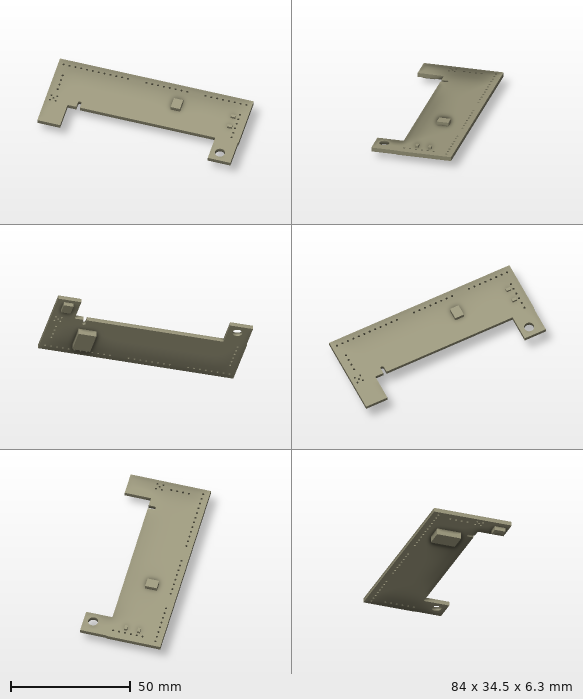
import cadquery as cq

BOARD_LENGTH = 84.0
BOARD_DEPTH = 34.5
BOARD_THICKNESS = 1.8
LEG_DEPTH = 11.3
LEFT_LEG_WIDTH = 9.9
RIGHT_LEG_START = 73.9
RIGHT_LEG_END = 83.75

SLOT_X = 14.45
SLOT_WIDTH = 1.5
SLOT_LENGTH = 3.2

MOUNT_X = 78.0
MOUNT_Y = 4.1
MOUNT_DIAMETER = 4.2

PITCH = 2.54
PIN_DIAMETER = 0.9
ROW_Y = 31.8
ROW_GROUPS = [(2.35, 12), (38.2, 8), (63.8, 8)]
COLUMN_TOP_Y = 26.0
COLUMNS = [(3.6, 4), (80.5, 6)]

CLUSTER_X = 3.3
CLUSTER_Y = 13.35
CLUSTER_DIAMETER = 0.8

CHIP_SIZE = (4.0, 5.0, 1.7)
CHIP_CORNER = (51.9, 20.75)
RESISTOR_SIZE = (2.0, 1.3, 1.0)
RESISTOR_CORNERS = [(77.2, 23.3), (77.2, 17.7)]

CONNECTOR_SIZE = (7.65, 10.7, 2.8)
CONNECTOR_CORNER = (13.2, 17.55)
SENSOR_SIZE = (4.0, 4.9, 1.8)
SENSOR_CORNER = (2.85, 1.6)


def block(size, corner, bottom_z):
    """Plain block with its lower-left corner at the given X and Y."""
    return cq.Workplane("XY").box(*size, centered=False).translate((*corner, bottom_z))


def drill(body, points, diameter):
    """Cut round holes through the whole board."""
    holes = cq.Workplane("XY").pushPoints(points).circle(diameter / 2).extrude(BOARD_THICKNESS)
    return body.cut(holes)


def board_blank():
    """Plate with two legs that point toward -Y."""
    outline = [
        (0, 0),
        (LEFT_LEG_WIDTH, 0),
        (LEFT_LEG_WIDTH, LEG_DEPTH),
        (RIGHT_LEG_START, LEG_DEPTH),
        (RIGHT_LEG_START, 0),
        (RIGHT_LEG_END, 0),
        (RIGHT_LEG_END, LEG_DEPTH),
        (BOARD_LENGTH, LEG_DEPTH),
        (BOARD_LENGTH, BOARD_DEPTH),
        (0, BOARD_DEPTH),
    ]
    return cq.Workplane("XY").polyline(outline).close().extrude(BOARD_THICKNESS)


def edge_slot():
    """Cutter for the slot, straight sides closed by a half circle."""
    radius = SLOT_WIDTH / 2
    end_y = LEG_DEPTH + SLOT_LENGTH
    return (
        cq.Workplane("XY")
        .moveTo(SLOT_X - radius, LEG_DEPTH)
        .lineTo(SLOT_X + radius, LEG_DEPTH)
        .lineTo(SLOT_X + radius, end_y - radius)
        .threePointArc((SLOT_X, end_y), (SLOT_X - radius, end_y - radius))
        .close()
        .extrude(BOARD_THICKNESS)
    )


def pin_points():
    """Centres of the holes in the back row and in the two side columns."""
    row = [(start + i * PITCH, ROW_Y) for start, count in ROW_GROUPS for i in range(count)]
    columns = [(x, COLUMN_TOP_Y - i * PITCH) for x, count in COLUMNS for i in range(count)]
    return row + columns


def cluster_points():
    """Centres of the middle hole and of the four around it."""
    half = PITCH / 2
    corners = [(CLUSTER_X + dx, CLUSTER_Y + dy) for dx in (-half, half) for dy in (-half, half)]
    return [(CLUSTER_X, CLUSTER_Y), *corners]


def make_board():
    body = board_blank().cut(edge_slot())
    body = drill(body, [(MOUNT_X, MOUNT_Y)], MOUNT_DIAMETER)
    body = drill(body, pin_points(), PIN_DIAMETER)
    return drill(body, cluster_points(), CLUSTER_DIAMETER)


def make_chip():
    return block(CHIP_SIZE, CHIP_CORNER, BOARD_THICKNESS)


def make_resistor(corner):
    return block(RESISTOR_SIZE, corner, BOARD_THICKNESS)


def make_connector():
    return block(CONNECTOR_SIZE, CONNECTOR_CORNER, -CONNECTOR_SIZE[2])


def make_sensor():
    return block(SENSOR_SIZE, SENSOR_CORNER, -SENSOR_SIZE[2])


board = make_board()
chip = make_chip()
resistors = [make_resistor(corner) for corner in RESISTOR_CORNERS]
connector = make_connector()
sensor = make_sensor()

result = cq.Compound.makeCompound([
    board.val(),
    chip.val(),
    *[resistor.val() for resistor in resistors],
    connector.val(),
    sensor.val(),
])